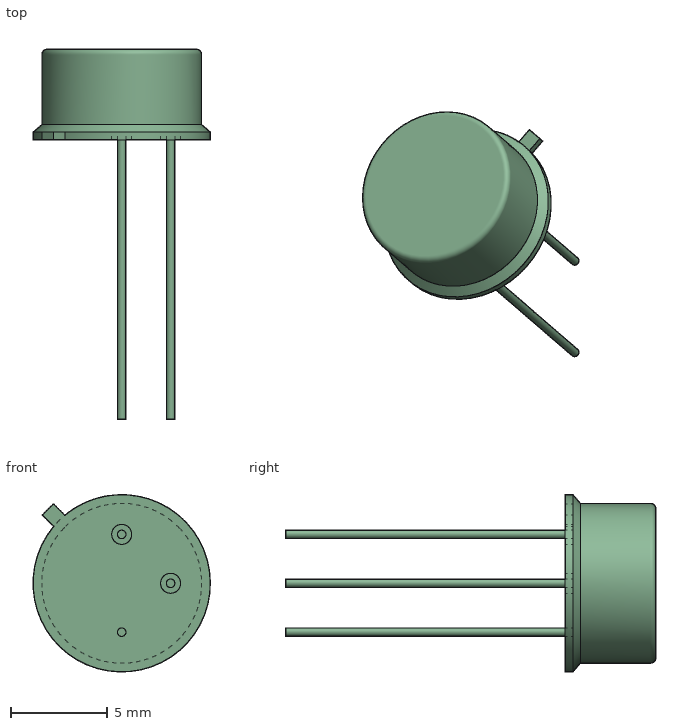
import cadquery as cq


total_length = 19.2
header_diameter = 9.2
header_thickness = 0.4

tab_reach = 5.41
tab_width = 0.83
tab_angle = 135.0

package_height = 4.7
cap_diameter = 8.3
cap_skirt_height = 0.38
cap_edge_radius = 0.29

lead_diameter = 0.45
lead_circle_radius = 2.53
seal_diameter = 1.04
lead_length = total_length - package_height

sealed_lead_places = [(0, lead_circle_radius), (lead_circle_radius, 0)]
ground_lead_place = (0, -lead_circle_radius)
lead_places = sealed_lead_places + [ground_lead_place]


def cylinder(place, diameter, y_start, y_end):
    """Cylinder along Y, centred on an (x, z) place."""
    x, z = place
    return cq.Workplane(
        cq.Solid.makeCylinder(diameter / 2, y_end - y_start, cq.Vector(x, y_start, z), cq.Vector(0, 1, 0))
    )


def make_header():
    """Base disc with its index tab, bored for the seals and the ground lead."""
    disc = cylinder((0, 0), header_diameter, 0, header_thickness)
    tab = (
        cq.Workplane("XY")
        .box(tab_reach, header_thickness, tab_width, centered=(False, False, True))
        .rotate((0, 0, 0), (0, 1, 0), -tab_angle)
    )
    header = disc.union(tab)
    for place in sealed_lead_places:
        header = header.cut(cylinder(place, seal_diameter, 0, header_thickness))
    return header.cut(cylinder(ground_lead_place, lead_diameter, 0, header_thickness))


def make_cap():
    """Cap with a conical skirt against the header and a rounded closed end."""
    cap_radius = cap_diameter / 2
    cap = (
        cq.Workplane("XY")
        .moveTo(0, header_thickness)
        .lineTo(header_diameter / 2, header_thickness)
        .lineTo(cap_radius, header_thickness + cap_skirt_height)
        .lineTo(cap_radius, package_height)
        .lineTo(0, package_height)
        .close()
        .revolve(360, (0, 0, 0), (0, 1, 0))
    )
    return cap.faces(">Y").edges().fillet(cap_edge_radius)


def make_seal(place):
    """Glass ring filling the header bore around a lead."""
    ring = cylinder(place, seal_diameter, 0, header_thickness)
    return ring.cut(cylinder(place, lead_diameter, 0, header_thickness))


def make_lead(place):
    """Straight round lead passing through the header up to the cap."""
    return cylinder(place, lead_diameter, -lead_length, header_thickness)


header = make_header()
cap = make_cap()
seals = [make_seal(place).val() for place in sealed_lead_places]
leads = [make_lead(place).val() for place in lead_places]

result = cq.Compound.makeCompound([header.val(), cap.val(), *seals, *leads])